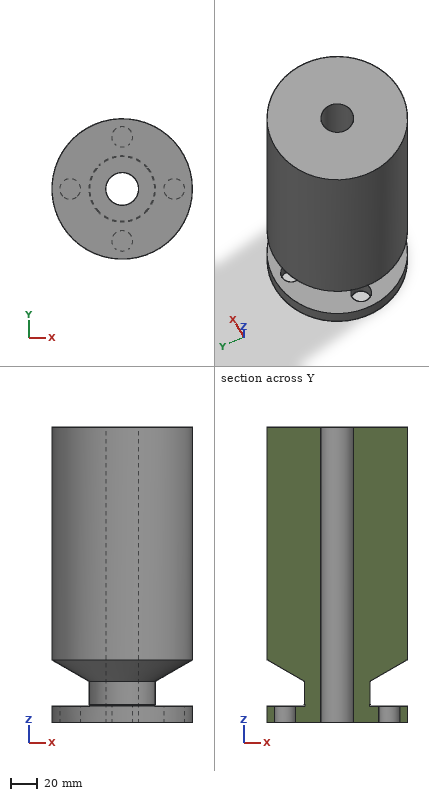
import cadquery as cq
import math

total_height = 227.0
outer_diameter = 108.0
bore_diameter = 25.0

flange_thickness = 12.7
neck_diameter = 51.0
neck_top = 31.8
neck_edge_chamfer = 0.7
foot_height = 0.7
cone_slope_degrees = 30.0

bolt_hole_count = 4
bolt_hole_diameter = 16.0
bolt_circle_diameter = 80.0

outer_radius = outer_diameter / 2
neck_radius = neck_diameter / 2
foot_radius = neck_radius - neck_edge_chamfer
foot_top = flange_thickness + foot_height
cone_height = (outer_radius - neck_radius) * math.tan(math.radians(cone_slope_degrees))
cone_top = neck_top + cone_height


def revolved_body():
    """Flange, short foot, chamfered neck, cone and cylinder turned about Z."""
    half_profile = [
        (0, 0),
        (outer_radius, 0),
        (outer_radius, flange_thickness),
        (foot_radius, flange_thickness),
        (foot_radius, foot_top),
        (neck_radius, foot_top + neck_edge_chamfer),
        (neck_radius, neck_top),
        (outer_radius, cone_top),
        (outer_radius, total_height),
        (0, total_height),
    ]
    return cq.Workplane("XZ").polyline(half_profile).close().revolve(360, (0, 0), (0, 1))


def central_bore():
    """Straight bore through the full height."""
    return cq.Workplane("XY").circle(bore_diameter / 2).extrude(total_height)


def bolt_holes():
    """Ring of holes through the flange."""
    return (
        cq.Workplane("XY")
        .polarArray(bolt_circle_diameter / 2, 0, 360, bolt_hole_count)
        .circle(bolt_hole_diameter / 2)
        .extrude(flange_thickness)
    )


result = revolved_body().cut(central_bore()).cut(bolt_holes())